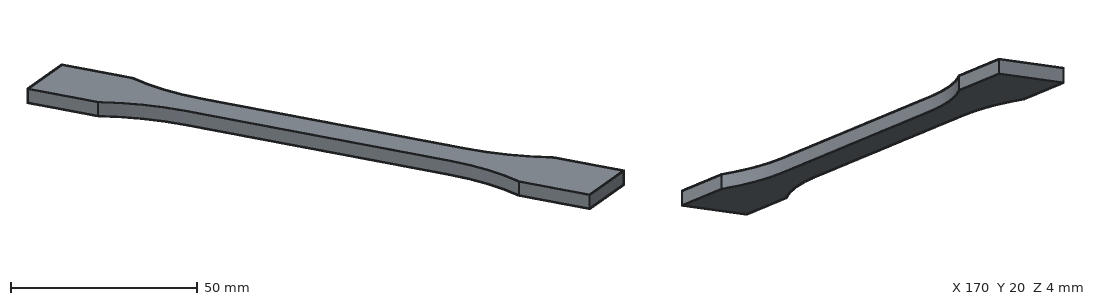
import cadquery as cq
import math

length = 170.0
grip_width = 20.0
thickness = 4.0
gauge_length = 80.0
gauge_width = grip_width / 2
shoulder_radius = 58.1

shoulder_rise = (grip_width - gauge_width) / 2
shoulder_angle = math.acos(1 - shoulder_rise / shoulder_radius)
shoulder_run = shoulder_radius * math.sin(shoulder_angle)

half_length = length / 2
half_gauge = gauge_length / 2
half_grip_width = grip_width / 2
half_gauge_width = gauge_width / 2
grip_start = half_gauge + shoulder_run

arc_mid_x = half_gauge + shoulder_radius * math.sin(shoulder_angle / 2)
arc_mid_y = half_gauge_width + shoulder_radius * (1 - math.cos(shoulder_angle / 2))

quarter = (
    cq.Workplane("XY")
    .workplane(offset=-thickness / 2)
    .moveTo(0, half_gauge_width)
    .lineTo(half_gauge, half_gauge_width)
    .threePointArc((arc_mid_x, arc_mid_y), (grip_start, half_grip_width))
    .lineTo(half_length, half_grip_width)
    .lineTo(half_length, 0)
    .lineTo(0, 0)
    .close()
    .extrude(thickness)
)

half = quarter.union(quarter.mirror("XZ"))
result = half.union(half.mirror("YZ")).clean()